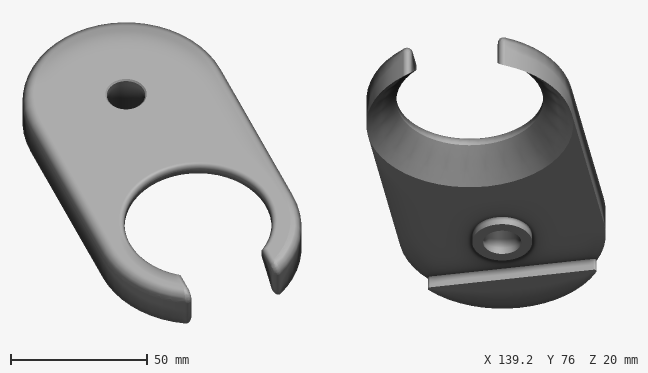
import cadquery as cq
import math

overall_length = 139.2
end_radius = 38.0
plate_thickness = 15.0
outer_fillet = 4.0

bore_radius = 27.0
bore_flare = end_radius - bore_radius
gap_width = 32.0
clip_fillet = 2.0

hole_diameter = 14.0
hole_chamfer = 0.5
boss_diameter = 22.0
boss_height = 3.3

lip_height = 5.0
lip_length = 18.0
lip_corner_fillet = 1.0

tip_reach = clip_fillet + math.sqrt(
    (end_radius - clip_fillet) ** 2 - (gap_width / 2 + clip_fillet) ** 2
)

pivot_x = end_radius
clip_x = overall_length - tip_reach
slot_length = clip_x + end_radius


def slot_blank(bottom_z, height):
    """Full slot-shaped outline, extruded upwards from bottom_z."""
    return (
        cq.Workplane("XY", origin=(slot_length / 2, 0, bottom_z))
        .slot2D(slot_length, 2 * end_radius)
        .extrude(height)
    )


def clip_bore():
    """Round bore that flares out at 45 degrees towards the underside."""
    return (
        cq.Workplane("XZ", origin=(clip_x, 0, 0))
        .lineTo(bore_radius + bore_flare, 0)
        .lineTo(bore_radius, bore_flare)
        .lineTo(bore_radius, plate_thickness)
        .lineTo(0, plate_thickness)
        .close()
        .revolve(360, (0, 0, 0), (0, 1, 0))
    )


def clip_mouth():
    """Straight gap from the bore centre out through the +X end."""
    return cq.Workplane("XY", origin=(clip_x, 0, 0)).box(
        end_radius, gap_width, plate_thickness, centered=(False, True, False)
    )


def clip_plate():
    """Plate with its rounded outer rim, the open clip and the rounded clip edges."""
    plate = slot_blank(0, plate_thickness).faces(">Z").edges().fillet(outer_fillet)
    plate = plate.cut(clip_bore()).cut(clip_mouth())

    opening_box = cq.selectors.BoxSelector(
        (clip_x - bore_radius, -bore_radius, 0),
        (slot_length, bore_radius, plate_thickness + 1.4),
    )
    opening_edges = plate.faces(">Z").edges(opening_box)

    tip_box = cq.selectors.BoxSelector(
        (clip_x + bore_radius + outer_fillet, -bore_radius, plate_thickness / 4),
        (slot_length, bore_radius, plate_thickness),
    )
    tip_edges = plate.edges(tip_box)

    return opening_edges.add(tip_edges).fillet(clip_fillet)


def stop_lip():
    """Segment of the rounded -X end, cut off straight and with softened corners."""
    segment_box = cq.Workplane("XY", origin=(0, 0, -lip_height)).box(
        lip_length, 2 * end_radius, lip_height, centered=(False, True, False)
    )
    segment = slot_blank(-lip_height, lip_height).intersect(segment_box)
    return segment.edges("|Z and >X").fillet(lip_corner_fillet)


def pivot_boss():
    return (
        cq.Workplane("XY", origin=(pivot_x, 0, -boss_height))
        .circle(boss_diameter / 2)
        .extrude(boss_height)
    )


def pivot_hole():
    """Through hole with a small countersink at the top face."""
    hole_radius = hole_diameter / 2
    rim_radius = hole_radius + hole_chamfer
    return (
        cq.Workplane("XZ", origin=(pivot_x, 0, 0))
        .moveTo(0, -boss_height)
        .lineTo(hole_radius, -boss_height)
        .lineTo(hole_radius, plate_thickness - hole_chamfer)
        .lineTo(rim_radius, plate_thickness)
        .lineTo(0, plate_thickness)
        .close()
        .revolve(360, (0, 0, 0), (0, 1, 0))
    )


result = clip_plate().union(stop_lip()).union(pivot_boss()).cut(pivot_hole())